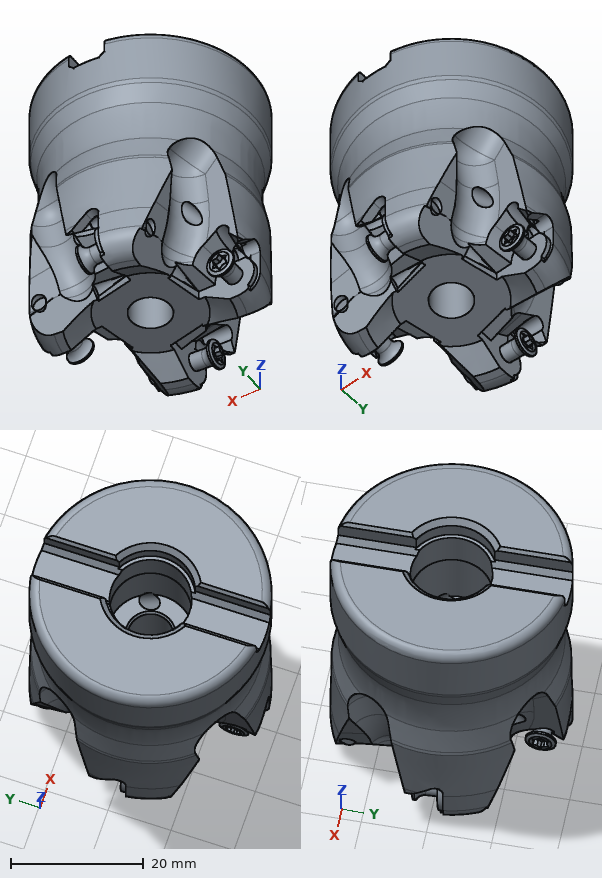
import cadquery as cq
import math

height = 43.25
body_radius = 18.25
waist_radius = 16.8
top_fillet = 1.45
corner_radius = 3.6
waist_z = 26.05
head_taper_foot = (body_radius, 7.3)
head_taper_top = (18.1, 17.65)
lower_cone_foot = (17.95, 18.25)
lower_cone_top = (17.05, 22.55)
upper_cone_foot = (17.17, 29.65)
upper_cone_top = (18.1, 32.88)
collar_bottom_z = 33.65
tooth_count = 4

bore_radius = 6.2
relief_radius = 6.5
mouth_radius = 6.8
mouth_depth = 3.2
mouth_chamfer = 0.9
plain_bore_depth = 8.85
bore_depth = 18.75
through_radius = 3.45
through_chamfer = 0.35
slot_half_width = 3.15
slot_depth = 3.9
slot_floor_chamfer = 0.9
slot_edge_chamfer = 0.5
dish_radius = 13.25
dish_inner_radius = 8.95
dish_depth = 2.4

flute_radius = 4.0
flute_lean = 11.0
flute_foot_x = -6.55
flute_axis_y = -13.65
flute_bend_z = 14.1
flute_top_z = 18.8
flute_bend_radius = 20.75
flute_knee_z = 4.55
flute_foot_z = -2.6
flat_end_x = -0.85
flat_top = (-12.7, 17.75)
flat_bend = (-10.4, 10.0)
flat_lower_bend = (-8.8, 5.2)
flat_foot_y = -6.5
heel_hinge = (-12.98, -8.7, 4.02)
heel_direction = (14.0, -1.4, 4.0)
heel_normal = (0.1, -1.0, -0.7)
heel_length = 16.0
heel_size = 8.65
runout_angle = 41.0
clearance = 25.95

screw_radius_place = 14.2
screw_z = 3.75
screw_tilt = 4.5
seat_x = 1.25
seat_radius = 3.45
pocket_depth = 6.5
pocket_taper = 12.0
pocket_inner_y = -7.8
roof_inner_angle = 58.0
roof_peak = (-14.7, 8.18)
roof_outer_y = -19.05
relief_corner = (-15.3, 8.45)
relief_corner_radius = 1.2
notch_x = 1.0
notch_z = 7.8
notch_radius = 1.2
notch_inner_radius = 14.28
ramp_inner_radius = 16.45
ramp_foot = (-4.33, 6.15)
ramp_bend = (-2.6, 6.5)
ramp_top = (0.1, 8.55)
ramp_bottom_z = 4.33
head_x = -3.05
head_radius = 2.35
head_face_radius = 1.75
head_rim = 0.55
head_chamfer = 0.2
flare_middle = (-2.0, 1.75)
neck_start_x = -1.0
neck_radius = 1.43
shank_radius = 1.2
screw_end_x = 8.65
hole_overrun = 2.15
torx_radius = 1.43
torx_root_radius = 1.0
torx_depth = 1.1
torx_lobes = 6

coolant_radius = 1.3
coolant_overrun = 1.75
coolant_inlet = cq.Vector(-5.0, -1.85, height - bore_depth)
coolant_outlet = cq.Vector(-6.05, -11.45, 11.95)


def around_axis(shape, index):
    """Turn a shape on the -Y side to the place of the given tooth."""
    return shape.rotate((0, 0, 0), (0, 0, 1), index * 360 / tooth_count)


def tilt_to_screw(shape):
    """Tilt a shape built along X so that it follows the screw direction."""
    return shape.rotate((0, 0, screw_z), (0, 1, screw_z), -screw_tilt)


def revolved_body():
    """Waisted outer shape, turned about Z."""
    return (
        cq.Workplane("XZ")
        .lineTo(body_radius - corner_radius, 0)
        .radiusArc((body_radius, corner_radius), -corner_radius)
        .lineTo(*head_taper_foot)
        .lineTo(*head_taper_top)
        .lineTo(*lower_cone_foot)
        .lineTo(*lower_cone_top)
        .threePointArc((waist_radius, waist_z), upper_cone_foot)
        .lineTo(*upper_cone_top)
        .lineTo(body_radius, collar_bottom_z)
        .lineTo(body_radius, height - top_fillet)
        .radiusArc((body_radius - top_fillet, height), -top_fillet)
        .lineTo(0, height)
        .close()
        .revolve(360, (0, 0, 0), (0, 1, 0))
    )


def bore_tool():
    """Stepped bore with its chamfered mouth and the smaller through hole."""
    seat_z = height - bore_depth
    relief_z = height - plain_bore_depth
    mouth_z = height - mouth_depth
    profile = [
        (0, 0),
        (through_radius, 0),
        (through_radius, seat_z - through_chamfer),
        (through_radius + through_chamfer, seat_z),
        (relief_radius, seat_z),
        (relief_radius, relief_z),
        (bore_radius, relief_z),
        (bore_radius, mouth_z),
        (mouth_radius, mouth_z),
        (mouth_radius, height - mouth_chamfer),
        (mouth_radius + mouth_chamfer, height),
        (0, height),
    ]
    return cq.Workplane("XZ").polyline(profile).close().revolve(360, (0, 0, 0), (0, 1, 0))


def slot_tool():
    """Drive slot along Y with chamfered floor corners and top edges."""
    floor_z = height - slot_depth
    half_profile = [
        (slot_half_width - slot_floor_chamfer, floor_z),
        (slot_half_width, floor_z + slot_floor_chamfer),
        (slot_half_width, height - slot_edge_chamfer),
        (slot_half_width + slot_edge_chamfer, height),
    ]
    mirrored = [(-x, z) for x, z in reversed(half_profile)]
    return cq.Workplane("XZ").polyline(half_profile + mirrored).close().extrude(clearance, both=True)


def dish_tool():
    """Conical hollow in the cutting end."""
    profile = [(0, 0), (dish_radius, 0), (dish_inner_radius, dish_depth), (0, dish_depth)]
    return cq.Workplane("XZ").polyline(profile).close().revolve(360, (0, 0, 0), (0, 1, 0))


def ball_cutter_run(start, end):
    """Straight run of the ball-ended flute cutter between two points."""
    run = end - start
    cylinder = cq.Workplane(cq.Solid.makeCylinder(flute_radius, run.Length, start, run))
    ball = cq.Workplane("XY", origin=start.toTuple()).sphere(flute_radius)
    return cylinder.union(ball)


def lean_to_flute(shape):
    """Lean a shape built along Z and move it to the foot of the flute."""
    return shape.rotate((0, 0, 0), (0, 1, 0), -flute_lean).translate((flute_foot_x, 0, 0))


def flute_path_y(z):
    """Y of the flute cutter's curved path at the given height."""
    return flute_axis_y + flute_bend_radius - math.sqrt(flute_bend_radius**2 - (flute_bend_z - z) ** 2)


def flute_path():
    """Tangent line and arc that the flute cutter follows down to the knee."""
    middle_z = (flute_bend_z + flute_knee_z) / 2
    return (
        cq.Workplane("YZ")
        .moveTo(flute_axis_y, flute_top_z)
        .lineTo(flute_axis_y, flute_bend_z)
        .threePointArc((flute_path_y(middle_z), middle_z), (flute_path_y(flute_knee_z), flute_knee_z))
    )


def flute_channel():
    """Round-bottomed channel: a ball-ended cutter path opened towards the outside."""
    knee_y = flute_path_y(flute_knee_z)
    runout_y = flute_axis_y - clearance
    runout_z = flute_top_z + clearance * math.tan(math.radians(runout_angle))
    knee = cq.Vector(0, knee_y, flute_knee_z)
    top = cq.Vector(0, flute_axis_y, flute_top_z)

    channel = cq.Workplane("XY", origin=top.toTuple()).circle(flute_radius).sweep(flute_path())
    channel = channel.union(ball_cutter_run(top, cq.Vector(0, runout_y, runout_z)))
    channel = channel.union(ball_cutter_run(knee, cq.Vector(0, knee_y, flute_foot_z)))
    opening = (
        flute_path()
        .lineTo(knee_y, flute_foot_z)
        .lineTo(runout_y, flute_foot_z)
        .lineTo(runout_y, runout_z)
        .close()
        .extrude(flute_radius, both=True)
    )
    return lean_to_flute(channel.union(opening))


def flute_flat():
    """Clearance face beside the channel, bending in towards the cutting end."""
    flat = (
        cq.Workplane("YZ", origin=(-clearance, 0, 0))
        .moveTo(-clearance, flute_foot_z)
        .lineTo(-clearance, flat_top[1])
        .lineTo(*flat_top)
        .lineTo(*flat_bend)
        .lineTo(*flat_lower_bend)
        .lineTo(flat_foot_y, flute_foot_z)
        .close()
        .extrude(clearance + flat_end_x)
    )
    return lean_to_flute(flat)


def heel_tool():
    """Sloping face that carries the flute floor inwards below the screw end."""
    plane = cq.Plane(origin=heel_hinge, xDir=heel_direction, normal=heel_normal)
    return cq.Workplane(plane).center(0, -heel_size).rect(heel_length, 2 * heel_size).extrude(heel_size)


def seat_boss():
    """Round raised seat for the insert, before tilting."""
    return (
        cq.Workplane("YZ", origin=(seat_x, -screw_radius_place, screw_z))
        .circle(seat_radius)
        .extrude(2 * notch_radius)
    )


def seat_edge_point(degrees):
    """(y, z) on the seat circle, measured upwards from the direction to the tool axis."""
    angle = math.radians(degrees)
    return (
        seat_radius * math.cos(angle) - screw_radius_place,
        seat_radius * math.sin(angle) + screw_z,
    )


def pocket_tool():
    """Insert pocket with a peaked roof and sloping walls, down to the flat seat."""
    roof_outer_z = roof_peak[1] + roof_outer_y - roof_peak[0]
    seat = cq.Workplane("YZ", origin=(seat_x, 0, 0))
    pocket = (
        seat.moveTo(pocket_inner_y, flute_foot_z)
        .lineTo(pocket_inner_y, screw_z)
        .lineTo(*seat_edge_point(0))
        .threePointArc(seat_edge_point(roof_inner_angle / 2), seat_edge_point(roof_inner_angle))
        .lineTo(*roof_peak)
        .lineTo(roof_outer_y, roof_outer_z)
        .lineTo(-clearance, roof_outer_z)
        .lineTo(-clearance, flute_foot_z)
        .close()
        .extrude(-pocket_depth, taper=-pocket_taper)
    )
    relief = seat.center(*relief_corner).circle(relief_corner_radius).extrude(-pocket_depth)
    return tilt_to_screw(pocket.union(relief))


def notch_tool():
    """Round-topped notch in the rim above the seat, with a ramp leading in from the flute."""
    start = cq.Workplane("XZ", origin=(0, -notch_inner_radius, 0))
    notch = start.center(notch_x, notch_z).circle(notch_radius).extrude(clearance)
    ramp_outline = [
        ramp_foot,
        ramp_bend,
        ramp_top,
        (notch_x, notch_z),
        (notch_x, ramp_bottom_z),
        (ramp_foot[0], ramp_bottom_z),
    ]
    ramp = (
        start.workplane(offset=ramp_inner_radius - notch_inner_radius)
        .polyline(ramp_outline)
        .close()
        .extrude(clearance)
    )
    foot = (
        start.workplane(offset=ramp_inner_radius - notch_inner_radius)
        .center(notch_x, notch_z / 2)
        .rect(2 * notch_radius, notch_z)
        .extrude(clearance)
        .cut(tilt_to_screw(seat_boss()))
    )
    return notch.union(ramp).union(foot)


def screw_hole_tool():
    """Hole through the tooth for the screw shank."""
    hole = (
        cq.Workplane("YZ", origin=(seat_x, -screw_radius_place, screw_z))
        .circle(shank_radius)
        .extrude(screw_end_x + hole_overrun - seat_x)
    )
    return tilt_to_screw(hole)


def coolant_tool():
    """Coolant hole from the bore shoulder to the flute."""
    direction = coolant_outlet - coolant_inlet
    end_margin = direction.normalized() * coolant_overrun
    return cq.Workplane(
        cq.Solid.makeCylinder(
            coolant_radius,
            direction.Length + 2 * coolant_overrun,
            coolant_inlet - end_margin,
            direction,
        )
    )


def cutter_body():
    """Shell-mill body with all its cuts."""
    body = revolved_body().cut(bore_tool()).cut(slot_tool()).cut(dish_tool())
    cuts = [
        flute_channel(),
        flute_flat(),
        heel_tool(),
        pocket_tool(),
        notch_tool(),
        screw_hole_tool(),
        coolant_tool(),
    ]
    for index in range(tooth_count):
        for tool in cuts:
            body = body.cut(around_axis(tool, index))
    return body


def clamping_screw():
    """Screw with a flared head, a neck and a shank, with a six-lobed socket."""
    screw = (
        cq.Workplane("XY")
        .moveTo(head_x, 0)
        .lineTo(head_x, head_face_radius)
        .lineTo(head_x + head_chamfer, head_radius)
        .lineTo(head_x + head_rim, head_radius)
        .threePointArc(flare_middle, (neck_start_x, neck_radius))
        .lineTo(seat_x, neck_radius)
        .lineTo(seat_x, shank_radius)
        .lineTo(screw_end_x, shank_radius)
        .lineTo(screw_end_x, 0)
        .close()
        .revolve(360, (0, 0, 0), (1, 0, 0))
    )
    lobes = []
    for point in range(2 * torx_lobes):
        radius = torx_radius if point % 2 == 0 else torx_root_radius
        angle = math.pi * point / torx_lobes
        lobes.append((radius * math.sin(angle), radius * math.cos(angle)))
    socket = (
        cq.Workplane("YZ", origin=(head_x, 0, 0))
        .polyline(lobes)
        .close()
        .extrude(torx_depth)
    )
    return tilt_to_screw(screw.cut(socket).translate((0, -screw_radius_place, screw_z)))


body = cutter_body()
screws = [around_axis(clamping_screw(), index) for index in range(tooth_count)]

result = cq.Compound.makeCompound([body.val(), *[screw.val() for screw in screws]])